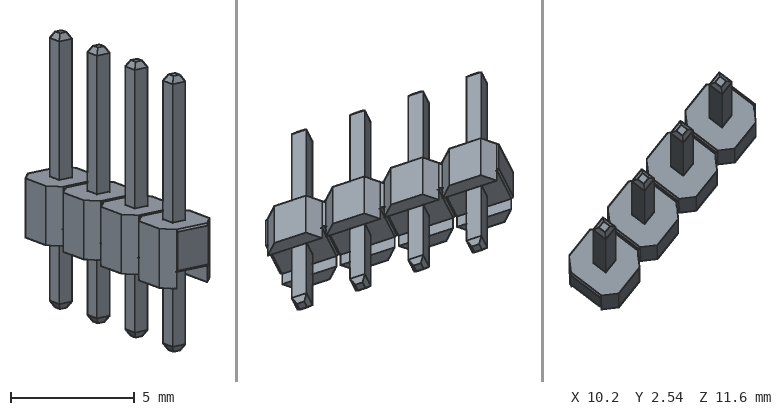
import cadquery as cq


pin_count = 4
pitch = 2.54

housing_length = pin_count * pitch
housing_width = pitch
housing_height = 2.49
corner_chamfer = 0.5
joint_chamfer = 0.084
channel_height = 0.7
block_length = pitch - 2 * joint_chamfer
web_width = housing_width - 2 * corner_chamfer
web_height = housing_height - channel_height

pin_length = 11.6
pin_width = 0.65
pin_tail = 3.0
tip_length = 0.28
tip_width = pin_width / 2

pin_positions = [(i - (pin_count - 1) / 2) * pitch for i in range(pin_count)]


def make_block(x):
    """Octagonal block around the pin at x."""
    return (
        cq.Workplane("XY")
        .center(x, 0)
        .rect(block_length, housing_width)
        .extrude(housing_height)
        .edges("|Z")
        .chamfer(corner_chamfer)
    )


def make_web(x):
    """One pitch of the web that joins the blocks, chamfered where it meets its neighbours."""
    return (
        cq.Workplane("XY")
        .box(pitch, web_width, web_height, centered=(True, True, False))
        .edges("|Y")
        .chamfer(joint_chamfer)
        .translate((x, 0, channel_height))
    )


def make_pin_hole(x):
    """Square through hole that the pin at x fills."""
    return cq.Workplane("XY").center(x, 0).rect(pin_width, pin_width).extrude(housing_height)


def make_housing():
    """Row of joined blocks with a channel along the underside and a hole for each pin."""
    channel = cq.Workplane("XY").box(
        housing_length, web_width, channel_height, centered=(True, True, False)
    )
    body = make_web(pin_positions[0]).union(make_block(pin_positions[0]))
    for x in pin_positions[1:]:
        body = body.union(make_web(x)).union(make_block(x))
    body = body.cut(channel)
    for x in pin_positions:
        body = body.cut(make_pin_hole(x))
    return body


def make_pin(x):
    """Square pin at x, tapered to a smaller square at both ends."""
    shank_length = pin_length - 2 * tip_length
    shank = cq.Workplane("XY").rect(pin_width, pin_width).extrude(shank_length)
    upper_tip = (
        cq.Workplane("XY", origin=(0, 0, shank_length))
        .rect(pin_width, pin_width)
        .workplane(offset=tip_length)
        .rect(tip_width, tip_width)
        .loft(ruled=True)
    )
    lower_tip = upper_tip.mirror("XY", (0, 0, shank_length / 2))
    pin = shank.union(upper_tip).union(lower_tip)
    return pin.translate((x, 0, tip_length - pin_tail))


housing = make_housing()
pins = [make_pin(x) for x in pin_positions]

result = cq.Compound.makeCompound([housing.solids().val(), *[pin.solids().val() for pin in pins]])